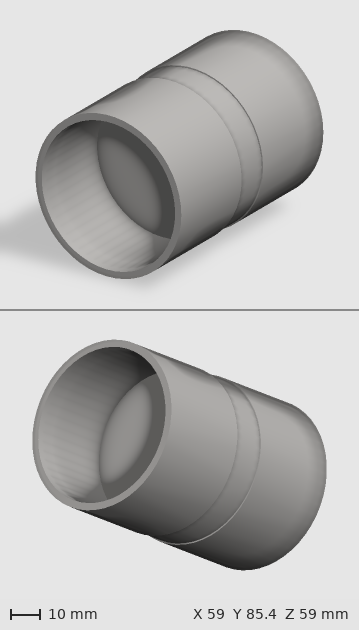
import cadquery as cq

length = 85.4
outer_diameter = 59.0

groove_diameter = 58.0
groove_width = 12.9

bore_diameter = 54.0
bore_depth = 33.3


def cylinder_along_y(diameter, height, start):
    """Cylinder on the Y axis running from start towards +Y."""
    axis_plane = cq.Workplane("XZ", origin=(0, start, 0))
    return axis_plane.circle(diameter / 2).extrude(-height)


def groove_ring():
    ring_start = -groove_width / 2
    ring = cylinder_along_y(outer_diameter, groove_width, ring_start)
    core = cylinder_along_y(groove_diameter, groove_width, ring_start)
    return ring.cut(core)


body = cylinder_along_y(outer_diameter, length, -length / 2)
body = body.cut(groove_ring())

for bore_start in (-length / 2, length / 2 - bore_depth):
    body = body.cut(cylinder_along_y(bore_diameter, bore_depth, bore_start))

result = body